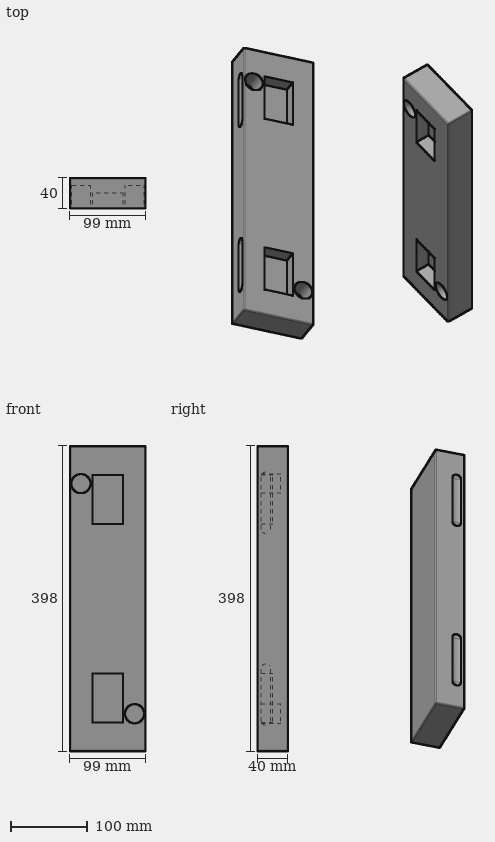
import cadquery as cq

WIDTH = 99.0
DEPTH = 40.0
HEIGHT = 398.0
EDGE_RADIUS = 1.5
FRONT_Y = -DEPTH / 2
LEFT_X = -WIDTH / 2

POCKET_WIDTH = 40.0
POCKET_HEIGHT = 64.0
POCKET_DEPTH = 20.0
POCKET_OFFSET_Z = 129.5

HOLE_DIAMETER = 25.0
HOLE_DEPTH = 30.0
HOLE_OFFSET_X = 35.0
HOLE_OFFSET_Z = 150.0

GROOVE_LENGTH = 80.0
GROOVE_WIDTH = 12.0
GROOVE_DEPTH = 1.25
GROOVE_Y = -9.0
GROOVE_OFFSET_Z = 125.0


def make_block():
    return cq.Workplane("XY").box(WIDTH, DEPTH, HEIGHT).edges().fillet(EDGE_RADIUS)


def make_pocket(z):
    """Rectangular pocket sunk into the front face at height z."""
    center_y = FRONT_Y + POCKET_DEPTH / 2
    pocket = cq.Workplane("XY").box(POCKET_WIDTH, POCKET_DEPTH, POCKET_HEIGHT)
    return pocket.translate((0, center_y, z))


def make_hole(x, z):
    """Blind hole drilled into the front face along +Y."""
    direction = cq.Vector(0, 1, 0)
    return cq.Workplane(
        cq.Solid.makeCylinder(HOLE_DIAMETER / 2, HOLE_DEPTH, cq.Vector(x, FRONT_Y, z), direction)
    )


def make_groove_cutter(z):
    """Upright ball-ended bar that dips into the left face by the groove depth."""
    half_width = GROOVE_WIDTH / 2
    radius = (half_width**2 + GROOVE_DEPTH**2) / (2 * GROOVE_DEPTH)
    half_straight = GROOVE_LENGTH / 2 - half_width
    half_profile = (
        cq.Workplane("XZ")
        .moveTo(0, -half_straight - radius)
        .radiusArc((radius, -half_straight), -radius)
        .lineTo(radius, half_straight)
        .radiusArc((0, half_straight + radius), -radius)
        .close()
    )
    bar = half_profile.revolve(360, (0, 0, 0), (0, 1, 0))
    return bar.translate((LEFT_X + GROOVE_DEPTH - radius, GROOVE_Y, z))


result = make_block()
for side in (-1, 1):
    result = result.cut(make_pocket(side * POCKET_OFFSET_Z))
    result = result.cut(make_hole(-side * HOLE_OFFSET_X, side * HOLE_OFFSET_Z))
    result = result.cut(make_groove_cutter(side * GROOVE_OFFSET_Z))